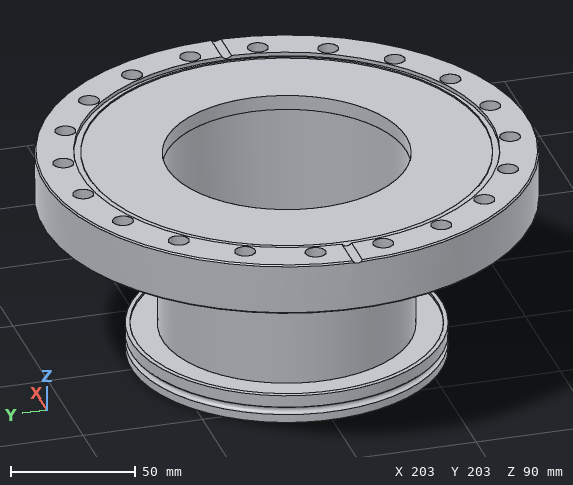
import cadquery as cq

total_height = 90.0
bore_diameter = 100.0
tube_diameter = 104.0
cut_margin = 2.0

flange_diameter = 203.0
flange_thickness = 22.0
flange_edge_chamfer = 0.6
recess_diameter = 171.3
recess_depth = 1.2
seal_diameter = 165.6
seal_edge_height = 0.6
seal_slope_drop = 1.0
tube_end_depth = 7.5
bolt_count = 20
bolt_circle_diameter = 181.0
bolt_hole_diameter = 8.3
leak_groove_width = 4.0
leak_groove_depth = 1.0

clamp_diameter = 130.0
clamp_thickness = 12.2
clamp_lip_diameter = 126.0
clamp_lip_height = 1.0
clamp_groove_diameter = 126.9
clamp_groove_bottom = 3.7
clamp_groove_top = 7.0

flange_bottom = total_height - flange_thickness
tube_top = total_height - tube_end_depth


def disc(diameter, bottom, top):
    """Solid upright cylinder between two heights on the Z axis."""
    return cq.Workplane("XY").workplane(offset=bottom).circle(diameter / 2).extrude(top - bottom)


def leak_groove_cutter():
    """Bar with a rounded underside along X, cut across the whole raised rim."""
    half_width = leak_groove_width / 2
    return (
        cq.Workplane("YZ")
        .moveTo(-half_width, total_height)
        .threePointArc((0, total_height - leak_groove_depth), (half_width, total_height))
        .close()
        .extrude(flange_diameter / 2 + cut_margin, both=True)
    )


def make_bolted_flange():
    """Flange with a sealing recess, leak grooves, a bolt circle and a socket for the tube."""
    body = disc(flange_diameter, flange_bottom, total_height).edges().chamfer(flange_edge_chamfer)

    rim_grooves = leak_groove_cutter().cut(disc(recess_diameter, flange_bottom, total_height))
    body = body.cut(rim_grooves)

    recess_radius = recess_diameter / 2
    face_height = total_height - recess_depth
    edge_height = face_height + seal_edge_height
    recess = (
        cq.Workplane("XZ")
        .moveTo(0, face_height)
        .lineTo(seal_diameter / 2, face_height)
        .lineTo(seal_diameter / 2, edge_height)
        .lineTo(recess_radius, edge_height - seal_slope_drop)
        .lineTo(recess_radius, total_height)
        .lineTo(0, total_height)
        .close()
        .revolve(360, (0, 0, 0), (0, 1, 0))
    )
    body = body.cut(recess)

    body = body.cut(disc(bore_diameter, flange_bottom, total_height))
    body = body.cut(disc(tube_diameter, flange_bottom, tube_top))

    bolt_holes = (
        cq.Workplane("XY")
        .workplane(offset=flange_bottom)
        .polarArray(bolt_circle_diameter / 2, 180 / bolt_count, 360, bolt_count)
        .circle(bolt_hole_diameter / 2)
        .extrude(flange_thickness)
    )
    return body.cut(bolt_holes)


def make_tube():
    """Plain tube running from the clamp flange base to the socket in the bolted flange."""
    return disc(tube_diameter, 0, tube_top).cut(disc(bore_diameter, 0, tube_top))


def make_clamp_flange():
    """Ring around the lower tube end with a thin raised lip on top and a round groove in its outer wall."""
    outer = clamp_diameter / 2
    inner = tube_diameter / 2
    lip_inner = clamp_lip_diameter / 2
    groove_middle = (clamp_groove_bottom + clamp_groove_top) / 2
    return (
        cq.Workplane("XZ")
        .moveTo(inner, 0)
        .lineTo(outer, 0)
        .lineTo(outer, clamp_groove_bottom)
        .threePointArc((clamp_groove_diameter / 2, groove_middle), (outer, clamp_groove_top))
        .lineTo(outer, clamp_thickness)
        .lineTo(lip_inner, clamp_thickness)
        .lineTo(lip_inner, clamp_thickness - clamp_lip_height)
        .lineTo(inner, clamp_thickness - clamp_lip_height)
        .close()
        .revolve(360, (0, 0, 0), (0, 1, 0))
    )


bolted_flange = make_bolted_flange()
tube = make_tube()
clamp_flange = make_clamp_flange()

result = cq.Compound.makeCompound([bolted_flange.val(), tube.val(), clamp_flange.val()])